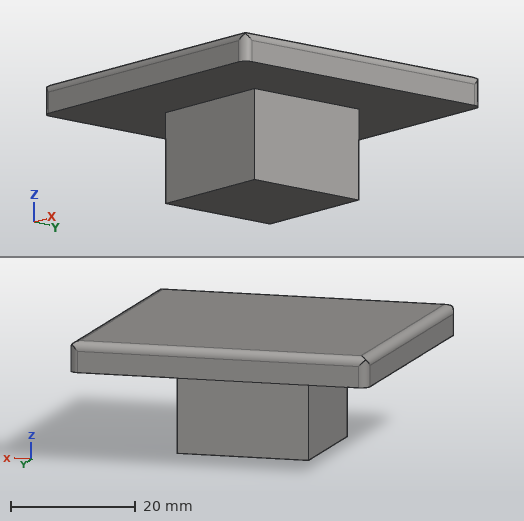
import cadquery as cq

plate_side = 50
plate_thickness = 5
edge_radius = 1.5

stem_side = 22
stem_height = 15


def make_rounded_slab(rounded_edges):
    """Plate blank on top of the stem, with only the selected edges rounded."""
    slab = cq.Workplane("XY").workplane(offset=stem_height).rect(plate_side, plate_side)
    return slab.extrude(plate_thickness).edges(rounded_edges).fillet(edge_radius)


def make_plate():
    """Common volume of three slabs, so the rounds meet in mitred corners."""
    upright_rounds = make_rounded_slab("|Z")
    top_rounds_along_x = make_rounded_slab(">Z and |X")
    top_rounds_along_y = make_rounded_slab(">Z and |Y")
    return upright_rounds.intersect(top_rounds_along_x).intersect(top_rounds_along_y)


def make_stem():
    """Plain square stem standing on the base plane."""
    return cq.Workplane("XY").rect(stem_side, stem_side).extrude(stem_height)


result = make_plate().union(make_stem())